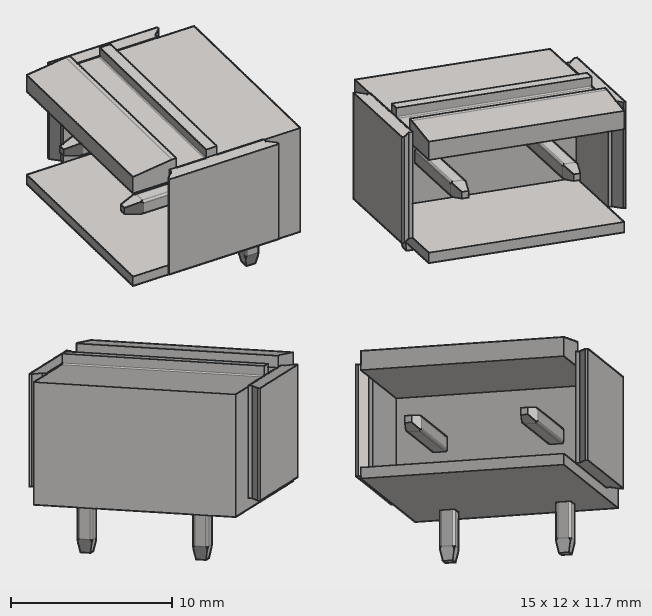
import cadquery as cq


HOUSING_WIDTH = 13.11
HOUSING_DEPTH = 12.0
FLOOR_THICKNESS = 0.7
ROOF_UNDERSIDE = 6.92
ROOF_TOP = 7.75

LIP_BACK = 8.9
LIP_FLAT = 0.3
LIP_TOP = 8.5
LIP_FRONT_TOP = 8.15

RIB_BACK = 5.98
RIB_WIDTH = 0.76
RIB_TOP = 8.42
RIB_ROOT_RADIUS = 0.09

OVERALL_WIDTH = 15.0
WALL_BACK = 2.08
WALL_FRONT = 9.93
WALL_TOP = 7.82
DOVETAIL_EDGE = 0.16
DOVETAIL_RUN = 0.52
DOVETAIL_DEPTH = 0.54

PIN_PITCH = 7.5
PIN_COUNT = 2
PIN_SIZE = 1.0
PIN_EDGE_RADIUS = 0.15
PIN_ROW_Z = 3.81
CONTACT_TIP_DISTANCE = 11.12
CONTACT_TAPER = 1.2
CONTACT_TIP_SIZE = 0.45
SOLDER_LEG_DISTANCE = 2.1
SOLDER_TIP_DROP = 3.2
SOLDER_TAPER = 0.9
SOLDER_TIP_SIZE = 0.65

BLOCK_DEPTH = 2 * SOLDER_LEG_DISTANCE


def extrude_across(profile, width):
    """Extrude a closed (y, z) profile along X, centred on X = 0."""
    return cq.Workplane("YZ").polyline(profile).close().extrude(width / 2, both=True)


def make_shell():
    """Back block, floor, roof and the sloped latch lip as one side profile."""
    profile = [
        (0, 0),
        (-HOUSING_DEPTH, 0),
        (-HOUSING_DEPTH, FLOOR_THICKNESS),
        (-BLOCK_DEPTH, FLOOR_THICKNESS),
        (-BLOCK_DEPTH, ROOF_UNDERSIDE),
        (-HOUSING_DEPTH, ROOF_UNDERSIDE),
        (-HOUSING_DEPTH, LIP_FRONT_TOP),
        (-LIP_BACK - LIP_FLAT, LIP_TOP),
        (-LIP_BACK, LIP_TOP),
        (-LIP_BACK, ROOF_TOP),
        (0, ROOF_TOP),
    ]
    return extrude_across(profile, HOUSING_WIDTH)


def make_rib():
    """Cross rib with concave fillets where it meets the roof."""
    back = -RIB_BACK
    front = back - RIB_WIDTH
    root_top = ROOF_TOP + RIB_ROOT_RADIUS
    return (
        cq.Workplane("YZ")
        .moveTo(back + RIB_ROOT_RADIUS, ROOF_TOP)
        .radiusArc((back, root_top), RIB_ROOT_RADIUS)
        .lineTo(back, RIB_TOP)
        .lineTo(front, RIB_TOP)
        .lineTo(front, root_top)
        .radiusArc((front - RIB_ROOT_RADIUS, ROOF_TOP), RIB_ROOT_RADIUS)
        .close()
        .extrude(HOUSING_WIDTH / 2, both=True)
    )


def make_side_wall():
    """Side wall at +X, flaring outward to a dovetail at its front and back edges."""
    inner = HOUSING_WIDTH / 2
    outer = OVERALL_WIDTH / 2
    edge = outer - DOVETAIL_EDGE
    neck = edge - DOVETAIL_RUN
    neck_back = -WALL_BACK - DOVETAIL_DEPTH
    neck_front = -WALL_FRONT + DOVETAIL_DEPTH
    outline = [
        (inner, neck_back),
        (neck, neck_back),
        (edge, -WALL_BACK),
        (outer, -WALL_BACK),
        (outer, -WALL_FRONT),
        (edge, -WALL_FRONT),
        (neck, neck_front),
        (inner, neck_front),
    ]
    return (
        cq.Workplane("XY", origin=(0, 0, FLOOR_THICKNESS))
        .polyline(outline)
        .close()
        .extrude(WALL_TOP - FLOOR_THICKNESS)
    )


def make_leg(length, taper, tip_size):
    """Straight square leg along +Z from the origin, tapered at its far end."""
    shank_length = length - taper
    shank = cq.Workplane("XY").rect(PIN_SIZE, PIN_SIZE).extrude(shank_length)
    tip = (
        cq.Workplane("XY", origin=(0, 0, shank_length))
        .rect(PIN_SIZE, PIN_SIZE)
        .workplane(offset=taper)
        .rect(tip_size, tip_size)
        .loft(ruled=True)
    )
    rounded_bar = (
        cq.Workplane("XY")
        .rect(PIN_SIZE, PIN_SIZE)
        .extrude(length)
        .edges("|Z")
        .fillet(PIN_EDGE_RADIUS)
    )
    return shank.union(tip).intersect(rounded_bar)


def make_pin(x):
    """Pin bent at a right angle: a contact toward -Y and a solder leg toward -Z."""
    bend_back = -SOLDER_LEG_DISTANCE + PIN_SIZE / 2
    bend_top = PIN_ROW_Z + PIN_SIZE / 2
    contact = (
        make_leg(CONTACT_TIP_DISTANCE + bend_back, CONTACT_TAPER, CONTACT_TIP_SIZE)
        .rotate((0, 0, 0), (1, 0, 0), 90)
        .translate((x, bend_back, PIN_ROW_Z))
    )
    solder_leg = (
        make_leg(SOLDER_TIP_DROP + bend_top, SOLDER_TAPER, SOLDER_TIP_SIZE)
        .rotate((0, 0, 0), (1, 0, 0), 180)
        .translate((x, -SOLDER_LEG_DISTANCE, bend_top))
    )
    return contact.union(solder_leg)


def make_housing(pins):
    """Housing with a passage fitted to each pin."""
    wall = make_side_wall()
    housing = make_shell().union(make_rib()).union(wall).union(wall.mirror("YZ"))
    for pin in pins:
        housing = housing.cut(pin)
    return housing


first_pin_x = -PIN_PITCH * (PIN_COUNT - 1) / 2
pins = [make_pin(first_pin_x + index * PIN_PITCH) for index in range(PIN_COUNT)]
housing = make_housing(pins)

result = cq.Compound.makeCompound([housing.solids().val(), *[pin.solids().val() for pin in pins]])